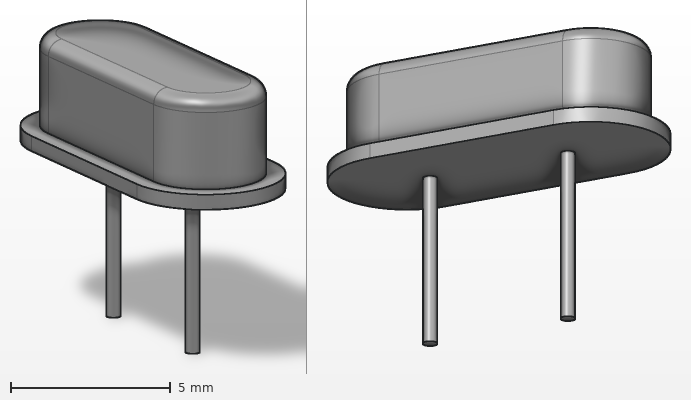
import cadquery as cq

flange_length = 11.5
flange_width = 5.0
total_height = 9.0

flange_thickness = 0.5
can_width = 3.8
can_height = 3.0
can_edge_radius = 0.5

lead_diameter = 0.46
lead_spacing = 4.88
lead_length = total_height - flange_thickness - can_height

arc_centre_spacing = flange_length - flange_width
can_length = arc_centre_spacing + can_width


def make_flange():
    """Flat base with rounded ends, its underside on Z = 0."""
    return cq.Workplane("XY").slot2D(flange_length, flange_width).extrude(flange_thickness)


def make_can():
    """Round-ended can standing on the flange, with a rounded top edge."""
    return (
        cq.Workplane("XY")
        .workplane(offset=flange_thickness)
        .slot2D(can_length, can_width)
        .extrude(can_height)
        .faces(">Z")
        .edges()
        .fillet(can_edge_radius)
    )


def make_leads():
    """Two straight round leads hanging from the underside of the flange."""
    lead_positions = [(-lead_spacing / 2, 0), (lead_spacing / 2, 0)]
    return (
        cq.Workplane("XY")
        .pushPoints(lead_positions)
        .circle(lead_diameter / 2)
        .extrude(-lead_length)
    )


result = make_flange().union(make_can()).union(make_leads())